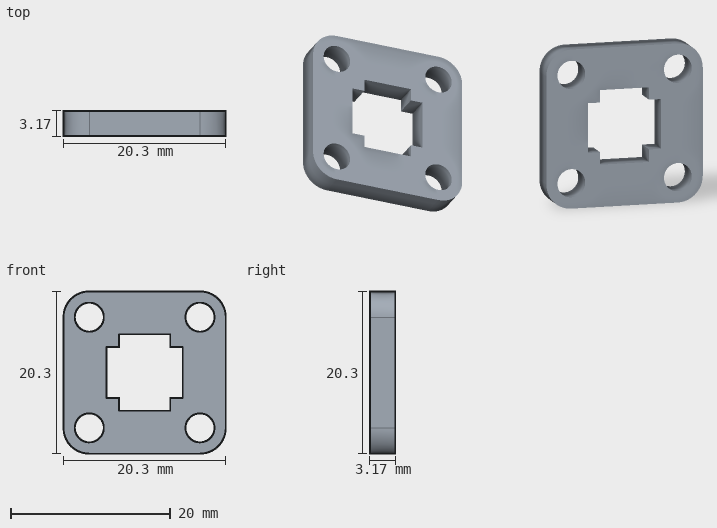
import cadquery as cq

plate_side = 20.32
plate_thickness = 3.175
bolt_spacing = 13.84
bolt_hole_diameter = 3.6
window_length = 9.525
window_width = 6.35

corner_radius = (plate_side - bolt_spacing) / 2


def make_plate():
    """Square plate in the XZ plane, centred on the origin, with rounded corners."""
    plate = cq.Workplane("XY").box(plate_side, plate_thickness, plate_side)
    return plate.edges("|Y").fillet(corner_radius)


def make_bolt_holes():
    """Four through-hole cylinders on a square pattern."""
    return (
        cq.Workplane("XZ", origin=(0, plate_thickness / 2, 0))
        .rect(bolt_spacing, bolt_spacing, forConstruction=True)
        .vertices()
        .circle(bolt_hole_diameter / 2)
        .extrude(plate_thickness)
    )


def make_window():
    """Cross-shaped through opening: two equal rectangles crossing at the centre."""
    wide_bar = cq.Workplane("XY").box(window_length, plate_thickness, window_width)
    tall_bar = cq.Workplane("XY").box(window_width, plate_thickness, window_length)
    return wide_bar.union(tall_bar)


result = make_plate().cut(make_bolt_holes()).cut(make_window())